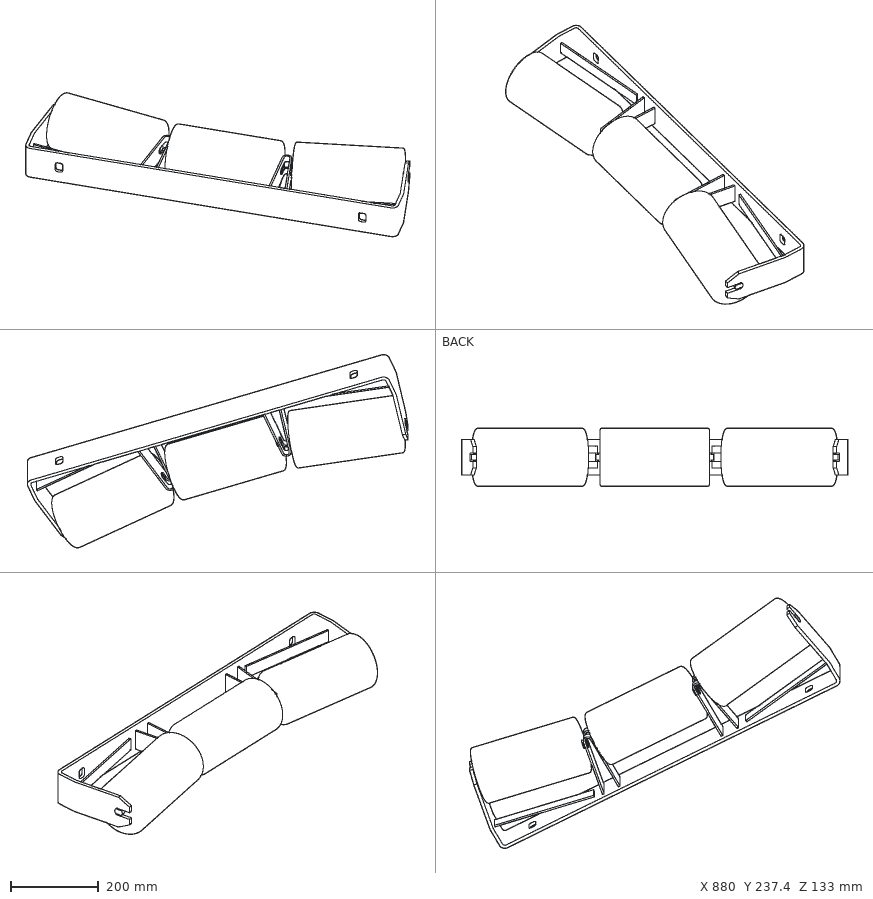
import cadquery as cq
import math

BAR_LENGTH = 880.0
BAR_WIDTH = 82.0
BAR_THICKNESS = 8.0
BEND_RADIUS = 14.0
FOLD_HEIGHT = 59.0
WALL_HEIGHT = 204.0
TILT = 10.0
TIP_WIDTH = 48.0
TIP_LENGTH = 30.0

MOUNT_SLOT_X = 358.0
MOUNT_SLOT_WIDTH = 18.0
MOUNT_SLOT_HEIGHT = 25.0
MOUNT_SLOT_CORNER = 5.0

BRACKET_THICKNESS = 4.0
BRACKET_X = 133.0
BRACKET_HEIGHT = 152.0
ARCH_RADIUS = 9.0
BRACKET_WIDTH = 50.0

BRACE_THICKNESS = 4.0
BRACE_WIDTH = 31.0
BRACE_HEIGHT = 49.0

ROLLER_DIAMETER = 133.0
ROLLER_LENGTH = 250.0
ROLLER_EDGE_RADIUS = 5.0
SHAFT_DIAMETER = 20.0
SHAFT_SHOULDER_LENGTH = 3.0
SHAFT_FLAT_WIDTH = 13.0
SHAFT_SLOT_WIDTH = 18.5
LEG_GAP = 4.0
MIDDLE_ROLLER_Y = 125.0
SIDE_ROLLER_X = 284.0
SIDE_ROLLER_Y = 151.0

shaft_shoulder = ROLLER_LENGTH / 2 + SHAFT_SHOULDER_LENGTH
leg_face = ROLLER_LENGTH / 2 + LEG_GAP
sin_tilt = math.sin(math.radians(TILT))
cos_tilt = math.cos(math.radians(TILT))
tan_tilt = math.tan(math.radians(TILT))
wall_x = (BAR_LENGTH - BAR_THICKNESS) / 2
wall_tip_x = wall_x - (WALL_HEIGHT - FOLD_HEIGHT) * tan_tilt
bracket_foot_y = BAR_THICKNESS / 2

MIDDLE_ROLLER_PLACE = (0, MIDDLE_ROLLER_Y, 0)
SIDE_ROLLER_PLACES = [
    (side * SIDE_ROLLER_X, SIDE_ROLLER_Y, side * TILT) for side in (-1, 1)
]
SIDE_ROLLER_LEGS = [(BAR_THICKNESS, BRACKET_THICKNESS), (BRACKET_THICKNESS, BAR_THICKNESS)]


def place(body, x, y, angle):
    """Turn a body about Z, then move it to its place."""
    return body.rotate((0, 0, 0), (0, 0, 1), angle).translate((x, y, 0))


def bent_strip(path, thickness, width):
    """Strip of even thickness that follows a middle line in the XY plane."""
    start = path.startPoint()
    profile_plane = cq.Plane(start, xDir=(0, 0, 1), normal=path.tangentAt(0))
    return cq.Workplane(profile_plane).rect(width, thickness).sweep(cq.Workplane(path))


def round_bar(diameter, length):
    """Cylinder along X, centred on the origin."""
    return cq.Workplane("YZ", origin=(-length / 2, 0, 0)).circle(diameter / 2).extrude(length)


def make_roller(left_leg, right_leg):
    """Round roller along X; its flattened shaft ends reach through legs of the given thickness."""
    left_end = -leg_face - left_leg
    right_end = leg_face + right_leg
    drum = round_bar(ROLLER_DIAMETER, ROLLER_LENGTH).edges().fillet(ROLLER_EDGE_RADIUS)
    shaft = round_bar(SHAFT_DIAMETER, 2 * shaft_shoulder)
    flats = cq.Workplane(origin=(left_end, 0, 0)).box(
        right_end - left_end, SHAFT_DIAMETER, SHAFT_FLAT_WIDTH, centered=(False, True, True)
    )
    flattened = round_bar(SHAFT_DIAMETER, 2 * max(-left_end, right_end)).intersect(flats)
    return drum.union(shaft).union(flattened)


def make_bar():
    """Base and both end walls as one bent strip."""
    middle_line = [
        (-wall_tip_x, WALL_HEIGHT),
        (-wall_x, FOLD_HEIGHT),
        (-wall_x, BAR_THICKNESS / 2),
        (wall_x, BAR_THICKNESS / 2),
        (wall_x, FOLD_HEIGHT),
        (wall_tip_x, WALL_HEIGHT),
    ]
    path = cq.Wire.makePolygon([cq.Vector(x, y) for x, y in middle_line])
    return bent_strip(path.fillet(BEND_RADIUS - BAR_THICKNESS / 2), BAR_THICKNESS, BAR_WIDTH)


def make_wall_tip_cutter(side):
    """Triangular prisms that taper the upper and lower corners of one wall tip."""
    taper = (BAR_WIDTH - TIP_WIDTH) / 2
    upper = (
        cq.Workplane("YZ")
        .polyline([
            (-TIP_LENGTH, BAR_WIDTH / 2),
            (TIP_LENGTH, TIP_WIDTH / 2 - taper),
            (TIP_LENGTH, BAR_WIDTH / 2),
        ])
        .close()
        .extrude(2 * BAR_THICKNESS, both=True)
    )
    both = upper.union(upper.mirror("XY"))
    return place(both, side * wall_tip_x, WALL_HEIGHT, side * TILT)


def make_mount_slots():
    """Two upright slots with rounded corners through the base."""
    return (
        cq.Workplane("XZ")
        .pushPoints([(-MOUNT_SLOT_X, 0), (MOUNT_SLOT_X, 0)])
        .rect(MOUNT_SLOT_WIDTH, MOUNT_SLOT_HEIGHT)
        .extrude(-BAR_THICKNESS)
        .edges("|Y")
        .fillet(MOUNT_SLOT_CORNER)
    )


def make_bracket(side):
    """Folded strip: an upright leg, a round arch and a leg that leans like the wall."""
    arch_y = BRACKET_HEIGHT - BRACKET_THICKNESS / 2 - ARCH_RADIUS
    arch_x = BRACKET_X + ARCH_RADIUS
    lean_top = cq.Vector(arch_x + ARCH_RADIUS * cos_tilt, arch_y + ARCH_RADIUS * sin_tilt)
    lean_foot = cq.Vector(lean_top.x + (lean_top.y - bracket_foot_y) * tan_tilt, bracket_foot_y)
    upright_top = cq.Vector(BRACKET_X, arch_y)
    path = cq.Wire.assembleEdges([
        cq.Edge.makeLine(cq.Vector(BRACKET_X, bracket_foot_y), upright_top),
        cq.Edge.makeThreePointArc(upright_top, cq.Vector(arch_x, arch_y + ARCH_RADIUS), lean_top),
        cq.Edge.makeLine(lean_top, lean_foot),
    ])
    bracket = bent_strip(path, BRACKET_THICKNESS, BRACKET_WIDTH)
    return bracket if side > 0 else bracket.mirror("YZ")


def make_brace(side):
    """Square-ended plate that rests one edge on the base and one on the end wall."""
    wall_face = BAR_LENGTH / 2 - BAR_THICKNESS
    rise = BRACE_HEIGHT - BAR_THICKNESS
    plate = cq.Workplane().box(
        rise / sin_tilt, BRACE_THICKNESS, BRACE_WIDTH, centered=(False, False, True)
    )
    brace = place(plate, wall_face - rise / tan_tilt, BAR_THICKNESS, TILT)
    return brace if side > 0 else brace.mirror("YZ")


def make_shaft_slot():
    """Cutter for the open slots that hold both shaft ends of one roller."""
    reach = leg_face + BRACKET_THICKNESS + ARCH_RADIUS
    opening = cq.Workplane().box(
        2 * reach, ROLLER_DIAMETER / 2, SHAFT_SLOT_WIDTH, centered=(True, False, True)
    )
    seat = round_bar(SHAFT_DIAMETER, 2 * reach).intersect(
        cq.Workplane().box(2 * reach, SHAFT_DIAMETER, SHAFT_SLOT_WIDTH)
    )
    return opening.union(seat)


def make_carrier():
    """Bent bar with its two brackets and the fixed middle roller, joined into one body."""
    carrier = make_bar().cut(make_mount_slots())
    for side in (-1, 1):
        carrier = carrier.cut(make_wall_tip_cutter(side)).union(make_bracket(side))
    for roller_place in [MIDDLE_ROLLER_PLACE, *SIDE_ROLLER_PLACES]:
        carrier = carrier.cut(place(make_shaft_slot(), *roller_place))
    middle_roller = make_roller(BRACKET_THICKNESS, BRACKET_THICKNESS)
    return carrier.union(place(middle_roller, *MIDDLE_ROLLER_PLACE))


carrier = make_carrier()
braces = [make_brace(side) for side in (-1, 1)]
side_rollers = [
    place(make_roller(*legs), *roller_place)
    for legs, roller_place in zip(SIDE_ROLLER_LEGS, SIDE_ROLLER_PLACES)
]
result = cq.Compound.makeCompound([
    carrier.val(),
    *[brace.val() for brace in braces],
    *[roller.val() for roller in side_rollers],
])